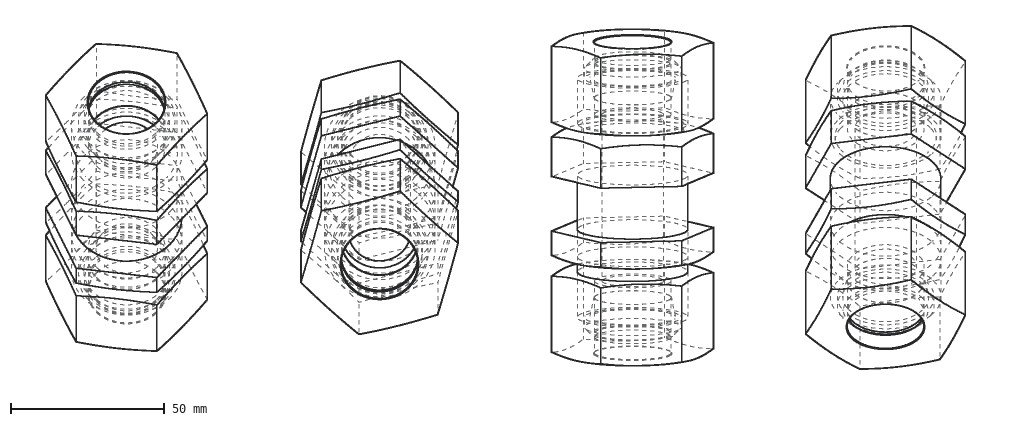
import cadquery as cq
import math


HEX_WIDTH = 46.0
HEX_CORNERS = HEX_WIDTH / math.cos(math.radians(30))
CHAMFER_CIRCLE = HEX_WIDTH
CHAMFER_ANGLE = 15.0
CORNER_CLEARANCE = 1.0

NUT_HEIGHT = 27.0
LOWER_THREAD_GAP = 5.0
LOCK_NUT_HEIGHT = 9.0
PANEL_GAP = 18.0
BODY_HEX_HEIGHT = 14.0
NECK_HEIGHT = 3.0

LOCK_NUT_Z = NUT_HEIGHT + LOWER_THREAD_GAP
BODY_HEX_Z = LOCK_NUT_Z + LOCK_NUT_HEIGHT + PANEL_GAP
NECK_Z = BODY_HEX_Z + BODY_HEX_HEIGHT
UPPER_NUT_Z = NECK_Z + NECK_HEIGHT
TOTAL_HEIGHT = UPPER_NUT_Z + NUT_HEIGHT

THREAD_DIAMETER = 36.0
NECK_DIAMETER = 33.0
NECK_FILLET = 1.2
BORE_DIAMETER = 20.0
TUBE_DIAMETER = 25.0
NUT_RIM_CHAMFER = 0.25

COLLAR_DIAMETER = 31.5
MOUTH_DIAMETER = 28.0
NOSE_HALF_ANGLE = 12.0
NOSE_HEIGHT = 6.5
NOSE_TIP_DIAMETER = MOUTH_DIAMETER - 2 * NOSE_HEIGHT * math.tan(math.radians(NOSE_HALF_ANGLE))

SEAT_DEPTH = 5.5
RING_DEPTH = 6.75
COLLAR_DEPTH = SEAT_DEPTH + (COLLAR_DIAMETER - TUBE_DIAMETER) / 2
BODY_END_DEPTH = 12.0
SOCKET_LENGTH = 12.0
BODY_BOTTOM_Z = BODY_END_DEPTH
BODY_TOP_Z = TOTAL_HEIGHT - BODY_END_DEPTH


def cylinder(diameter, bottom, top):
    return cq.Workplane("XY").workplane(offset=bottom).circle(diameter / 2).extrude(top - bottom)


def make_cone(bottom_diameter, bottom, top_diameter, top):
    """Solid cone frustum on the Z axis."""
    profile = [(0, bottom), (bottom_diameter / 2, bottom), (top_diameter / 2, top), (0, top)]
    return cq.Workplane("XZ").polyline(profile).close().revolve(360, (0, 0, 0), (0, 1, 0))


def chamfer_envelope(bottom, top, at_bottom, at_top):
    """Round solid whose chosen ends taper, used to trim the corners of a hexagon."""
    end_radius = CHAMFER_CIRCLE / 2
    full_radius = HEX_CORNERS / 2 + CORNER_CLEARANCE
    drop = (full_radius - end_radius) * math.tan(math.radians(CHAMFER_ANGLE))
    profile = [(0, bottom)]
    if at_bottom:
        profile += [(end_radius, bottom), (full_radius, bottom + drop)]
    else:
        profile += [(full_radius, bottom)]
    if at_top:
        profile += [(full_radius, top - drop), (end_radius, top)]
    else:
        profile += [(full_radius, top)]
    profile += [(0, top)]
    return cq.Workplane("XZ").polyline(profile).close().revolve(360, (0, 0, 0), (0, 1, 0))


def hexagon(bottom, top, at_bottom, at_top):
    """Hexagonal prism with its corners chamfered at the chosen ends."""
    prism = (
        cq.Workplane("XY")
        .workplane(offset=bottom)
        .transformed(rotate=(0, 0, 90))
        .polygon(6, HEX_CORNERS)
        .extrude(top - bottom)
    )
    return prism.intersect(chamfer_envelope(bottom, top, at_bottom, at_top))


def at_end(shape, upper):
    """Place a shape made for the lower end, mirroring it when it belongs to the upper end."""
    if not upper:
        return shape
    return shape.mirror("XY", (0, 0, TOTAL_HEIGHT / 2))


def make_neck():
    """Neck between the body hexagon and the upper nut, flaring out onto the hexagon."""
    radius = NECK_DIAMETER / 2
    return (
        cq.Workplane("XZ")
        .moveTo(0, NECK_Z)
        .lineTo(radius + NECK_FILLET, NECK_Z)
        .radiusArc((radius, NECK_Z + NECK_FILLET), NECK_FILLET)
        .lineTo(radius, UPPER_NUT_Z)
        .lineTo(0, UPPER_NUT_Z)
        .close()
        .revolve(360, (0, 0, 0), (0, 1, 0))
    )


def make_nose():
    """Solid cone of the ring nose at the lower end, narrowing into the body."""
    return make_cone(MOUTH_DIAMETER, BODY_BOTTOM_Z, NOSE_TIP_DIAMETER, BODY_BOTTOM_Z + NOSE_HEIGHT)


def make_body():
    body = cylinder(THREAD_DIAMETER, BODY_BOTTOM_Z, BODY_HEX_Z)
    body = body.union(hexagon(BODY_HEX_Z, NECK_Z, at_bottom=False, at_top=True))
    body = body.union(make_neck())
    body = body.union(cylinder(THREAD_DIAMETER, UPPER_NUT_Z, BODY_TOP_Z))
    body = body.cut(cylinder(BORE_DIAMETER, BODY_BOTTOM_Z, BODY_TOP_Z))
    socket = cylinder(TUBE_DIAMETER, BODY_BOTTOM_Z, BODY_BOTTOM_Z + SOCKET_LENGTH)
    for upper in (False, True):
        body = body.cut(at_end(socket, upper))
        body = body.cut(at_end(make_nose(), upper))
    return body


def make_lock_nut():
    top = LOCK_NUT_Z + LOCK_NUT_HEIGHT
    nut = hexagon(LOCK_NUT_Z, top, at_bottom=True, at_top=False)
    return nut.cut(cylinder(THREAD_DIAMETER, LOCK_NUT_Z, top))


def make_union_nut(upper):
    nut = hexagon(0, NUT_HEIGHT, at_bottom=True, at_top=True)
    hole = cylinder(TUBE_DIAMETER, 0, SEAT_DEPTH)
    hole = hole.union(make_cone(TUBE_DIAMETER + 2 * NUT_RIM_CHAMFER, 0, TUBE_DIAMETER, NUT_RIM_CHAMFER))
    nut = nut.cut(hole)
    nut = nut.cut(make_cone(TUBE_DIAMETER, SEAT_DEPTH, COLLAR_DIAMETER, COLLAR_DEPTH))
    nut = nut.cut(cylinder(COLLAR_DIAMETER, COLLAR_DEPTH, BODY_END_DEPTH))
    nut = nut.cut(cylinder(THREAD_DIAMETER, BODY_END_DEPTH, NUT_HEIGHT))
    return at_end(nut, upper)


def make_ring(upper):
    face_diameter = TUBE_DIAMETER + 2 * (RING_DEPTH - SEAT_DEPTH)
    ring = make_cone(face_diameter, RING_DEPTH, COLLAR_DIAMETER, COLLAR_DEPTH)
    ring = ring.union(cylinder(COLLAR_DIAMETER, COLLAR_DEPTH, BODY_END_DEPTH))
    ring = ring.union(make_nose())
    ring = ring.cut(cylinder(TUBE_DIAMETER, RING_DEPTH, BODY_END_DEPTH + NOSE_HEIGHT))
    return at_end(ring, upper)


body = make_body()
lock_nut = make_lock_nut()
union_nuts = [make_union_nut(upper) for upper in (False, True)]
rings = [make_ring(upper) for upper in (False, True)]

result = cq.Compound.makeCompound(
    [
        body.solids().val(),
        lock_nut.solids().val(),
        *[nut.solids().val() for nut in union_nuts],
        *[ring.solids().val() for ring in rings],
    ]
)